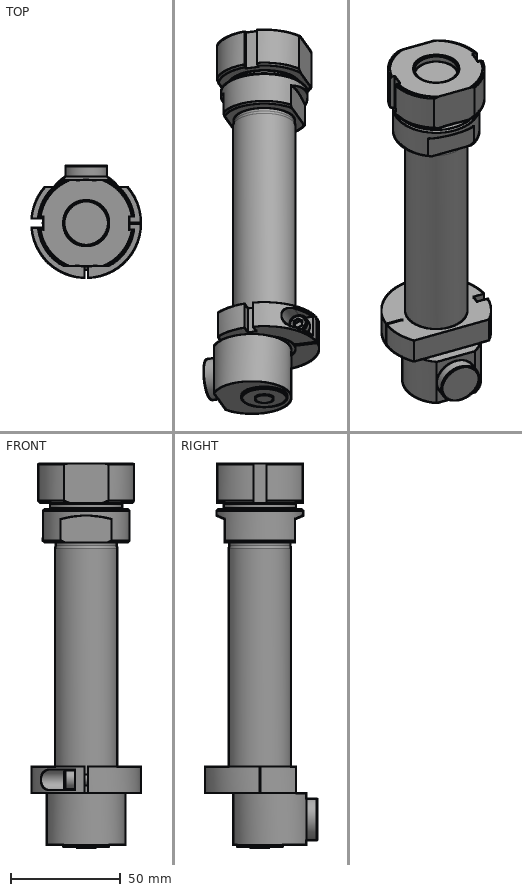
import cadquery as cq
import math


top_z = 173.6
tube_diameter = 28.5
neck_diameter = 27.9
neck_length = 2.8
neck_taper_length = 1.3

base_radius = 18.0
base_height = 23.6
base_offset_y = 5.85
base_flat_y = 21.1
boss_diameter = 19.0
boss_end_y = 26.23
boss_center_z = 11.6
boss_chamfer = 0.4
disc_diameter = 21.0
disc_chamfer = 0.4
disc_thickness = 1.0
cap_diameter = 8.5
cap_thickness = 0.5

top_nut_diameter = 44.0
top_nut_height = 18.0
top_nut_flats = 39.0
top_nut_upper_chamfer_height = 0.5
top_nut_lower_chamfer_height = 1.0
nut_chamfer_width = 1.0
key_slot_width = 6.0
key_slot_floor_x = 19.5
window_diameter = 19.8
window_rim_diameter = 21.0
window_depth = 3.5

collar_diameter = 33.0
collar_length = 2.8
collar_chamfer = 0.5
lower_nut_diameter = 39.5
lower_nut_height = 15.2
lower_nut_flats = 32.0
lower_nut_chamfer_height = 0.9
flat_crown_drop = 3.0
flat_end_drop = 4.6

clamp_diameter = 50.0
clamp_thickness = 12.0
clamp_bottom_z = base_height
clamp_flat_y = 16.5
notch_width = 4.0
notch_floor_x = 19.5
split_width = 1.5
relief_width = 0.5
relief_floor_x = 17.0
screw_y = -18.9
screw_head_diameter = 8.5
screw_head_seat_x = -5.0
screw_head_length = 5.0
screw_head_chamfer = 0.6
screw_shank_diameter = 5.0
screw_recess_width = 9.4
hex_socket_flats = 4.0
hex_socket_depth = 2.5

top_nut_bottom_z = top_z - top_nut_height
lower_nut_top_z = top_nut_bottom_z - collar_length
lower_nut_bottom_z = lower_nut_top_z - lower_nut_height
clamp_top_z = clamp_bottom_z + clamp_thickness
screw_z = clamp_bottom_z + clamp_thickness / 2
clear = 2.0


def cylinder(diameter, bottom_z, height):
    return cq.Workplane("XY").workplane(offset=bottom_z).circle(diameter / 2).extrude(height)


def box(x_range, y_range, z_range):
    sizes = [high - low for low, high in (x_range, y_range, z_range)]
    return cq.Workplane("XY").box(*sizes, centered=False).translate((x_range[0], y_range[0], z_range[0]))


def nut_blank(diameter, bottom_z, upper_z, lower_chamfer, upper_chamfer):
    """Round nut blank with its own chamfer heights and the shared chamfer width."""
    outer = diameter / 2
    inner = outer - nut_chamfer_width
    outline = [
        (0, bottom_z), (inner, bottom_z), (outer, bottom_z + lower_chamfer),
        (outer, upper_z - upper_chamfer), (inner, upper_z), (0, upper_z),
    ]
    return cq.Workplane("XZ").polyline(outline).close().revolve(360, (0, 0), (0, 1))


def make_top_nut():
    nut = nut_blank(top_nut_diameter, top_nut_bottom_z, top_z,
                    top_nut_lower_chamfer_height, top_nut_upper_chamfer_height)
    nut = nut.intersect(box((-top_nut_diameter, top_nut_diameter),
                            (-top_nut_flats / 2, top_nut_flats / 2),
                            (top_nut_bottom_z, top_z)))
    slot_end_x = top_nut_diameter / 2 + clear
    for x_range in ((-slot_end_x, -key_slot_floor_x), (key_slot_floor_x, slot_end_x)):
        nut = nut.cut(box(x_range, (-key_slot_width / 2, key_slot_width / 2), (top_nut_bottom_z, top_z)))
    window = cylinder(window_diameter, top_z - window_depth, window_depth)
    rim_chamfer = (window_rim_diameter - window_diameter) / 2
    nut = nut.cut(window)
    rim = nut.faces(">Z").edges("%CIRCLE").edges(cq.selectors.RadiusNthSelector(0))
    return rim.chamfer(rim_chamfer)


def make_lower_nut():
    nut = nut_blank(lower_nut_diameter, lower_nut_bottom_z, lower_nut_top_z,
                    lower_nut_chamfer_height, lower_nut_chamfer_height)
    flat_y = lower_nut_flats / 2
    rim_y = lower_nut_diameter / 2 + clear
    flat_half_length = math.sqrt(lower_nut_diameter ** 2 - lower_nut_flats ** 2) / 2
    cutter = (
        cq.Workplane("XZ", origin=(0, rim_y, 0))
        .moveTo(-flat_half_length, lower_nut_bottom_z)
        .lineTo(-flat_half_length, lower_nut_top_z - flat_end_drop)
        .threePointArc((0, lower_nut_top_z - flat_crown_drop),
                       (flat_half_length, lower_nut_top_z - flat_end_drop))
        .lineTo(flat_half_length, lower_nut_bottom_z)
        .close()
        .extrude(rim_y - flat_y)
    )
    for cut in (cutter, cutter.mirror("XZ")):
        nut = nut.cut(cut)
    return nut


def make_tube():
    radius = tube_diameter / 2
    neck_radius = neck_diameter / 2
    neck_z = lower_nut_bottom_z - neck_length + neck_taper_length
    outline = [
        (0, base_height), (radius, base_height), (radius, lower_nut_bottom_z - neck_length),
        (neck_radius, neck_z), (neck_radius, lower_nut_bottom_z), (0, lower_nut_bottom_z),
    ]
    return cq.Workplane("XZ").polyline(outline).close().revolve(360, (0, 0), (0, 1))


def make_base():
    base = cylinder(2 * base_radius, 0, base_height).translate((0, base_offset_y, 0))
    base = base.cut(box((-base_radius, base_radius),
                        (base_flat_y, base_offset_y + base_radius + clear),
                        (0, base_height)))
    boss = (
        cq.Workplane("XZ", origin=(0, base_offset_y, boss_center_z))
        .circle(boss_diameter / 2)
        .extrude(base_offset_y - boss_end_y)
        .faces(">Y").chamfer(boss_chamfer)
    )
    disc = cylinder(disc_diameter, -disc_thickness, disc_thickness).faces("<Z").chamfer(disc_chamfer)
    cap = cylinder(cap_diameter, -disc_thickness - cap_thickness, cap_thickness)
    return base.union(boss).union(disc).union(cap)


def make_probe():
    collar = cylinder(collar_diameter, lower_nut_top_z, collar_length)
    collar = collar.edges("%CIRCLE").chamfer(collar_chamfer)
    probe = make_base().union(make_tube()).union(make_lower_nut())
    return probe.union(collar).union(make_top_nut())


def make_clamp_screw():
    """Socket-head screw along X, head toward -X."""
    head_end_x = screw_head_seat_x - screw_head_length
    head_plane = cq.Workplane("YZ", origin=(head_end_x, screw_y, screw_z))
    head = head_plane.circle(screw_head_diameter / 2).extrude(screw_head_length)
    head = head.faces("<X").chamfer(screw_head_chamfer)
    hex_diameter = hex_socket_flats / math.cos(math.pi / 6)
    socket = head_plane.transformed(rotate=(0, 0, 90)).polygon(6, hex_diameter).extrude(hex_socket_depth)
    shank_length = split_width / 2 - screw_head_seat_x + clear
    shank = (
        cq.Workplane("YZ", origin=(screw_head_seat_x, screw_y, screw_z))
        .circle(screw_shank_diameter / 2)
        .extrude(shank_length)
    )
    return head.cut(socket).union(shank)


def make_screw_recess():
    """Round-bottomed recess for the screw head, open toward -X and -Y."""
    length = screw_head_seat_x + clamp_diameter / 2
    bore = (
        cq.Workplane("YZ", origin=(screw_head_seat_x, screw_y, screw_z))
        .circle(screw_recess_width / 2)
        .extrude(-length)
    )
    mouth = box((-clamp_diameter / 2, screw_head_seat_x),
                (-clamp_diameter / 2, screw_y),
                (screw_z - screw_recess_width / 2, screw_z + screw_recess_width / 2))
    return bore.union(mouth)


def make_clamp():
    ring_radius = clamp_diameter / 2
    outside = ring_radius + clear
    z_range = (clamp_bottom_z, clamp_top_z)
    ring = cylinder(clamp_diameter, clamp_bottom_z, clamp_thickness)
    ring = ring.cut(cylinder(tube_diameter, clamp_bottom_z, clamp_thickness))
    rear_flat = box((-outside, outside), (clamp_flat_y, outside), z_range)
    notch = box((-outside, -notch_floor_x), (-notch_width / 2, notch_width / 2), z_range)
    relief = box((relief_floor_x, outside), (-relief_width / 2, relief_width / 2), z_range)
    split = box((-split_width / 2, split_width / 2), (-outside, 0), z_range)
    for cutter in (rear_flat, notch, relief, split, make_screw_recess()):
        ring = ring.cut(cutter)
    return ring.union(make_clamp_screw())


probe = make_probe()
clamp = make_clamp()
result = cq.Compound.makeCompound([probe.val(), clamp.val()])